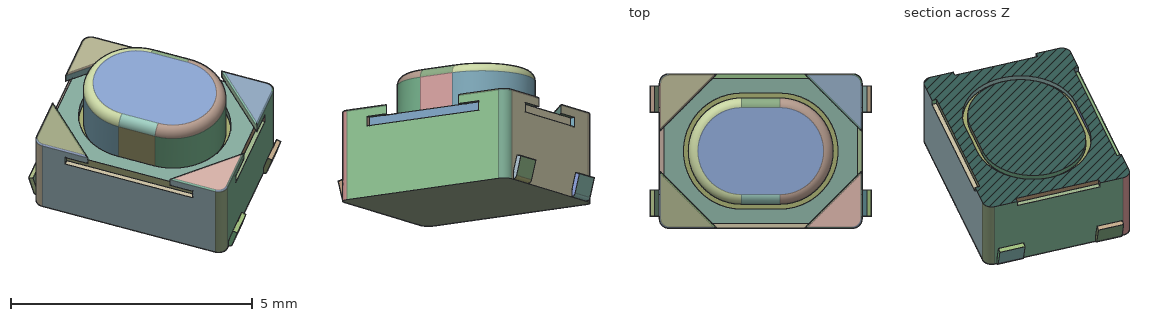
import cadquery as cq
import math

housing_length = 4.2
housing_width = 3.2
housing_height = 1.9
housing_corner_radius = 0.2

pad_height = 0.2
pad_leg = 1.2
pad_edge_radius = 0.03
deck_height = housing_height - pad_height

side_slot_depth = 0.1
side_slot_height = 0.2
side_slot_overrun = 0.5
long_slot_length = housing_length - 2 * pad_leg + 2 * side_slot_overrun
short_slot_length = housing_width - 2 * pad_leg + 2 * side_slot_overrun
side_slot_floor = deck_height - side_slot_height

button_length = 3.0
button_width = 2.2
button_top = 2.7
button_edge_radius = 0.2
button_clearance = 0.1
clearance_floor = side_slot_floor

terminal_width = 0.55
terminal_thickness = 0.1
terminal_lean = math.radians(15)
terminal_leg_length = 0.42
terminal_reach = 2.29
terminal_outer_side = 1.35
terminal_foot_length = 0.2
terminal_offset = terminal_outer_side - terminal_width / 2


def make_housing():
    """Rounded block up to the deck."""
    block = cq.Workplane("XY").box(housing_length, housing_width, deck_height, centered=(True, True, False))
    return block.edges("|Z").fillet(housing_corner_radius)


def make_corner_pad(side_x, side_y):
    """Triangular pad at one housing corner, with softened top edges."""
    corner_x = side_x * housing_length / 2
    corner_y = side_y * housing_width / 2
    pad = (
        cq.Workplane("XY")
        .workplane(offset=deck_height)
        .moveTo(corner_x, corner_y)
        .lineTo(corner_x - side_x * pad_leg, corner_y)
        .lineTo(corner_x, corner_y - side_y * pad_leg)
        .close()
        .extrude(pad_height)
    )
    outer_corner = cq.selectors.NearestToPointSelector((corner_x, corner_y, deck_height + pad_height / 2))
    pad = pad.edges(outer_corner).fillet(housing_corner_radius)
    return pad.faces(">Z").edges().fillet(pad_edge_radius)


def make_side_slots():
    """Cutters for the slots: one bar through each pair of opposite sides, kept to the outer skin."""
    slot_level = cq.Workplane("XY").workplane(offset=side_slot_floor)
    flat = (True, True, False)
    bars = slot_level.box(long_slot_length, housing_width, side_slot_height, centered=flat)
    bars = bars.union(slot_level.box(housing_length, short_slot_length, side_slot_height, centered=flat))
    core_length = housing_length - 2 * side_slot_depth
    core_width = housing_width - 2 * side_slot_depth
    return bars.cut(slot_level.box(core_length, core_width, side_slot_height, centered=flat))


def make_button_clearance():
    """Cutter for the well that surrounds the button."""
    return (
        cq.Workplane("XY")
        .workplane(offset=clearance_floor)
        .slot2D(button_length + 2 * button_clearance, button_width + 2 * button_clearance)
        .extrude(deck_height - clearance_floor)
    )


def make_button():
    """Button with round ends, rising from the floor of the well."""
    button = (
        cq.Workplane("XY")
        .workplane(offset=clearance_floor)
        .slot2D(button_length, button_width)
        .extrude(button_top - clearance_floor)
    )
    return button.faces(">Z").edges().fillet(button_edge_radius)


def make_terminal(side_x, side_y):
    """Strip with a flat foot, bent sharply on its inside and leaning outward."""
    lean_x = math.sin(terminal_lean)
    lean_z = math.cos(terminal_lean)
    bend_radius = terminal_thickness
    bend_x = terminal_reach - bend_radius * lean_z - terminal_leg_length * lean_x
    bend_z = bend_radius

    def bend_point(angle):
        """Point on the outer bend, at an angle below the outward horizontal."""
        return (side_x * (bend_x + bend_radius * math.cos(angle)), bend_z - bend_radius * math.sin(angle))

    leg_run = side_x * terminal_leg_length * lean_x
    leg_rise = terminal_leg_length * lean_z
    bend_middle = (terminal_lean + math.pi / 2) / 2
    outer_start = bend_point(terminal_lean)
    foot_end_x = side_x * (bend_x - terminal_foot_length)
    return (
        cq.Workplane("XZ", origin=(0, side_y * terminal_offset, 0))
        .moveTo(foot_end_x, 0)
        .lineTo(side_x * bend_x, 0)
        .threePointArc(bend_point(bend_middle), outer_start)
        .lineTo(outer_start[0] + leg_run, outer_start[1] + leg_rise)
        .lineTo(side_x * bend_x + leg_run, bend_z + leg_rise)
        .lineTo(side_x * bend_x, bend_z)
        .lineTo(foot_end_x, bend_z)
        .close()
        .extrude(terminal_width / 2, both=True)
    )


housing = make_housing().cut(make_side_slots()).cut(make_button_clearance())
result = housing.union(make_button())

for side_x in (-1, 1):
    for side_y in (-1, 1):
        result = result.union(make_corner_pad(side_x, side_y))
        result = result.union(make_terminal(side_x, side_y))